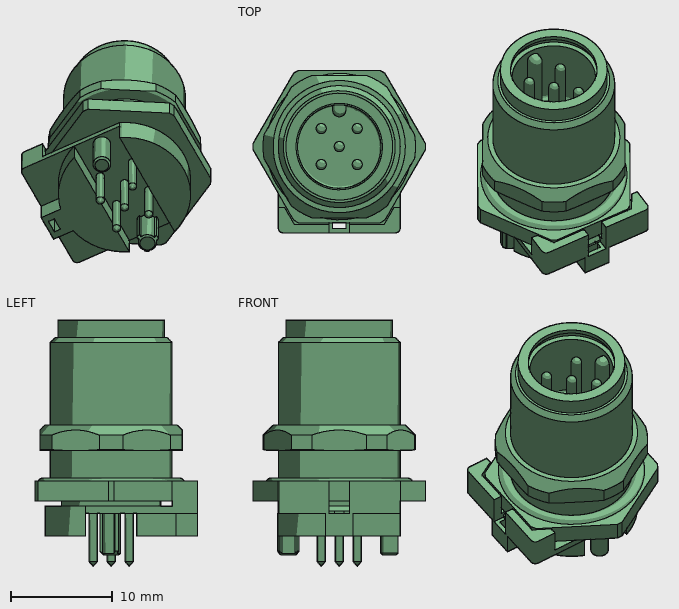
import cadquery as cq
import math


housing_top = 21.25
thread_radius = 6.0
thread_top = 19.05
thread_chamfer = 0.5
rim_radius = 5.25
flange_bottom = 3.45
flange_height = 2.0
flange_top = flange_bottom + flange_height
flange_across_flats = 15.0
flange_corner_radius = 8.5
skirt_radius = 4.9
lip_radius = 4.25
lip_height = 0.45
bead_outer_radius = 7.2
bead_height = 0.3

nut_bottom = 8.45
nut_height = 2.5
nut_across_flats = 14.0
nut_corner_radius = 7.5
nut_top_chamfer = 1.0
nut_bottom_chamfer_width = 0.36
nut_bottom_chamfer_height = 0.07

plate_bottom = 2.25
plate_top = 2.95
cup_outer_radius = 4.6
cup_top = 20.05
cup_bore_radius = 4.1
cup_floor = 12.5
cup_floor_fillet = 0.25

carrier_half_width = 6.0
bracket_front = -8.5
bracket_back = -6.0
bracket_corner_fillet = 0.5
flange_clearance = 0.15
foot_radius = 6.5
feet_gap_half = 2.5
tab_half_width = 1.37

slot_half_width = 1.0
ramp_front = -7.4
ramp_foot_height = 0.25
opening_half_width = 0.65
opening_front = -8.05
notch_half_width = 0.48
notch_depth = 0.6

pin_offset = 1.77
pin_radius = 0.5
pin_top = 18.98
pin_dome = 0.42
tail_radius = 0.41
tail_bottom = -2.95
tail_cone_height = 0.45

key_radius = 0.65
key_axis_y = 3.58
key_top = 19.43
key_dome = 0.55

peg_bottom = -1.85
ribbed_peg_center = (-5.0, 0.0)
ribbed_peg_core_radius = 0.9
ribbed_peg_rib_radius = 1.12
ribbed_peg_rib_width = 0.42
ribbed_peg_chamfer = 0.38
round_peg_center = (4.93, 0.0)
round_peg_radius = 0.87
round_peg_chamfer = 0.2


def cylinder(radius, z_bottom, z_top, center=(0.0, 0.0)):
    return cq.Workplane("XY", origin=(*center, z_bottom)).circle(radius).extrude(z_top - z_bottom)


def block(x_range, y_range, z_range):
    low, high = zip(x_range, y_range, z_range)
    size = [b - a for a, b in zip(low, high)]
    return cq.Workplane("XY", origin=low).box(*size, centered=False)


def hexagon(across_flats, z_bottom, z_top):
    """Hexagonal prism with two flats facing +Y and -Y."""
    across_corners = across_flats / math.cos(math.pi / 6)
    return cq.Workplane("XY", origin=(0, 0, z_bottom)).polygon(6, across_corners).extrude(z_top - z_bottom)


def make_housing():
    flange = hexagon(flange_across_flats, flange_bottom, flange_top).intersect(
        cylinder(flange_corner_radius, flange_bottom, flange_top)
    )
    barrel = cylinder(thread_radius, flange_bottom, thread_top + thread_chamfer)
    barrel = barrel.faces(">Z").chamfer(thread_chamfer)
    skirt = cylinder(skirt_radius, plate_top, flange_bottom)
    rim = cylinder(rim_radius, thread_top, housing_top)
    body = flange.union(barrel).union(skirt).union(rim).union(make_sealing_bead())
    body = body.cut(cylinder(cup_outer_radius, plate_top, housing_top - lip_height))
    return body.cut(cylinder(lip_radius, plate_top, housing_top))


def make_sealing_bead():
    """Rounded ring lying on the flange around the foot of the threaded barrel."""
    middle_radius = (thread_radius + bead_outer_radius) / 2
    profile = (
        cq.Workplane("XZ")
        .moveTo(thread_radius, flange_top)
        .threePointArc((middle_radius, flange_top + bead_height), (bead_outer_radius, flange_top))
        .close()
    )
    return profile.revolve(360, (0, 0, 0), (0, 1, 0))


def make_nut():
    """Hexagon nut whose corners are turned off by a chamfered round envelope."""
    nut_top = nut_bottom + nut_height
    envelope_profile = [
        (0, nut_bottom),
        (nut_corner_radius - nut_bottom_chamfer_width, nut_bottom),
        (nut_corner_radius, nut_bottom + nut_bottom_chamfer_height),
        (nut_corner_radius, nut_top - nut_top_chamfer),
        (nut_corner_radius - nut_top_chamfer, nut_top),
        (0, nut_top),
    ]
    envelope = cq.Workplane("XZ").polyline(envelope_profile).close().revolve(360, (0, 0, 0), (0, 1, 0))
    nut = hexagon(nut_across_flats, nut_bottom, nut_top).intersect(envelope)
    return nut.cut(cylinder(thread_radius, nut_bottom, nut_top))


def make_cup():
    cup = cylinder(cup_outer_radius, plate_bottom, cup_top)
    bore = cylinder(cup_bore_radius, cup_floor, cup_top).faces("<Z").edges().fillet(cup_floor_fillet)
    return cup.cut(bore)


def make_bracket():
    """Base plate with an upright front wall that follows the flange outline."""
    width = (-carrier_half_width, carrier_half_width)
    plate = block(width, (bracket_front, feet_gap_half), (plate_bottom, plate_top))
    wall = block(width, (bracket_front, bracket_back), (plate_bottom, flange_top))
    bracket = plate.union(wall).edges("|Z and <Y").fillet(bracket_corner_fillet)
    recess = hexagon(flange_across_flats + 2 * flange_clearance, plate_top, flange_top)
    return bracket.cut(recess)


def make_feet():
    """Two round-backed feet either side of an open band, with a square tab at the front."""
    back_foot = cylinder(foot_radius, 0, plate_top).intersect(
        block((-foot_radius, foot_radius), (feet_gap_half, foot_radius), (0, plate_top))
    )
    front_foot = cylinder(foot_radius, 0, plate_bottom).intersect(
        block((-foot_radius, foot_radius), (-foot_radius, -feet_gap_half), (0, plate_bottom))
    )
    tab = block((-tab_half_width, tab_half_width), (bracket_front, -feet_gap_half), (0, plate_bottom))
    return back_foot, front_foot.union(tab)


def make_latch_slot():
    """Slot through the front wall, ending in a ramp on the plate, with an opening down the tab."""
    ramp_foot = plate_bottom + ramp_foot_height
    ramp_back = ramp_front + plate_top - ramp_foot
    slot_profile = [
        (bracket_front, plate_bottom),
        (ramp_front, plate_bottom),
        (ramp_front, ramp_foot),
        (ramp_back, plate_top),
        (ramp_back, flange_top),
        (bracket_front, flange_top),
    ]
    slot = cq.Workplane("YZ").polyline(slot_profile).close().extrude(slot_half_width, both=True)
    opening = block(
        (-opening_half_width, opening_half_width), (opening_front, ramp_front), (0, plate_bottom)
    )
    notch = block(
        (-notch_half_width, notch_half_width),
        (ramp_front, ramp_front + notch_depth),
        (plate_bottom, ramp_foot),
    )
    return slot.union(opening).union(notch)


def make_pin(center):
    """Contact pin with a domed mating end and a pointed solder tail."""
    contact = cylinder(pin_radius, cup_floor, pin_top, center).faces(">Z").edges().fillet(pin_dome)
    cone_base = tail_bottom + tail_cone_height
    tail = cylinder(tail_radius, cone_base, cup_floor, center)
    cone = cq.Solid.makeCone(0, tail_radius, tail_cone_height, cq.Vector(*center, tail_bottom))
    return contact.union(tail).union(cq.Workplane(cone))


def make_coding_key():
    """Round-nosed key running into the cup wall."""
    key_back = (cup_bore_radius + cup_outer_radius) / 2
    key = (
        cq.Workplane("XY", origin=(0, 0, cup_floor))
        .moveTo(-key_radius, key_back)
        .lineTo(-key_radius, key_axis_y)
        .threePointArc((0, key_axis_y - key_radius), (key_radius, key_axis_y))
        .lineTo(key_radius, key_back)
        .close()
        .extrude(key_top - cup_floor)
    )
    return key.faces(">Z").edges("not >Y").fillet(key_dome)


def make_ribbed_peg():
    """Locating peg with three equally spaced ribs, one of them toward +Y."""
    envelope = cylinder(ribbed_peg_rib_radius, peg_bottom, plate_bottom, ribbed_peg_center)
    envelope = envelope.faces("<Z").chamfer(ribbed_peg_chamfer)
    shape = cylinder(ribbed_peg_core_radius, peg_bottom, plate_bottom, ribbed_peg_center)
    for angle in (90, 210, 330):
        rib = (
            cq.Workplane("XY", origin=(*ribbed_peg_center, peg_bottom))
            .transformed(rotate=(0, 0, angle))
            .rect(ribbed_peg_rib_radius, ribbed_peg_rib_width, centered=(False, True))
            .extrude(plate_bottom - peg_bottom)
        )
        shape = shape.union(rib)
    return shape.intersect(envelope)


def make_round_peg():
    peg = cylinder(round_peg_radius, peg_bottom, plate_bottom, round_peg_center)
    return peg.faces("<Z").chamfer(round_peg_chamfer)


def make_carrier():
    carrier = make_bracket().union(make_cup())
    for foot in make_feet():
        carrier = carrier.union(foot)
    carrier = carrier.cut(make_latch_slot())
    carrier = carrier.union(make_coding_key())
    carrier = carrier.union(make_ribbed_peg()).union(make_round_peg())
    corner_pins = [(x, y) for x in (-pin_offset, pin_offset) for y in (-pin_offset, pin_offset)]
    for center in [(0.0, 0.0), *corner_pins]:
        carrier = carrier.union(make_pin(center))
    return carrier


housing = make_housing()
nut = make_nut()
carrier = make_carrier()

result = cq.Compound.makeCompound([housing.val(), nut.val(), carrier.val()])